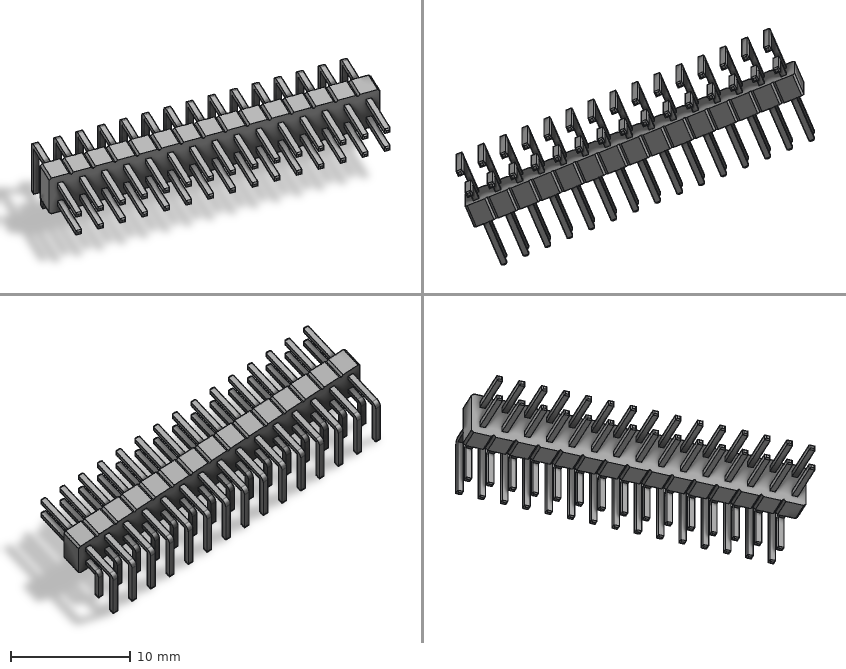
import cadquery as cq

pitch = 2.0
pins_per_row = 15
body_width = pitch
body_height = 2 * pitch
body_chamfer = 0.2
pin_size = 0.5
pin_tip = pin_size / 4
tail_drop = 2.4
mating_end_x = 5.2
inner_leg_x = -2.5
outer_leg_x = inner_leg_x - pitch

half_pin = pin_size / 2
lower_row_z = pitch / 2
upper_row_z = lower_row_z + pitch
row_ys = [(i - (pins_per_row - 1) / 2) * pitch for i in range(pins_per_row)]


def make_body():
    """Bevelled segments side by side; the bevels meet as V grooves."""
    body = cq.Workplane("XY")
    for y in row_ys:
        segment = (
            cq.Workplane("XY")
            .box(body_width, pitch, body_height, centered=(True, True, False))
            .edges("|X")
            .chamfer(body_chamfer)
            .translate((0, y, 0))
        )
        body = body.union(segment)
    return body


def make_pin(leg_x, row_z):
    """Right-angle square pin on Y = 0, rounded outside the bend and sharp inside it."""
    pin = (
        cq.Workplane("XZ")
        .moveTo(leg_x - half_pin, -tail_drop)
        .lineTo(leg_x - half_pin, row_z - half_pin)
        .radiusArc((leg_x + half_pin, row_z + half_pin), pin_size)
        .lineTo(mating_end_x, row_z + half_pin)
        .lineTo(mating_end_x, row_z - half_pin)
        .lineTo(leg_x + half_pin, row_z - half_pin)
        .lineTo(leg_x + half_pin, -tail_drop)
        .close()
        .extrude(half_pin, both=True)
    )
    return pin.faces(">X").chamfer(pin_tip).faces("<Z").chamfer(pin_tip)


result = make_body()
for leg_x, row_z in ((outer_leg_x, upper_row_z), (inner_leg_x, lower_row_z)):
    pin = make_pin(leg_x, row_z)
    for y in row_ys:
        result = result.union(pin.translate((0, y, 0)))